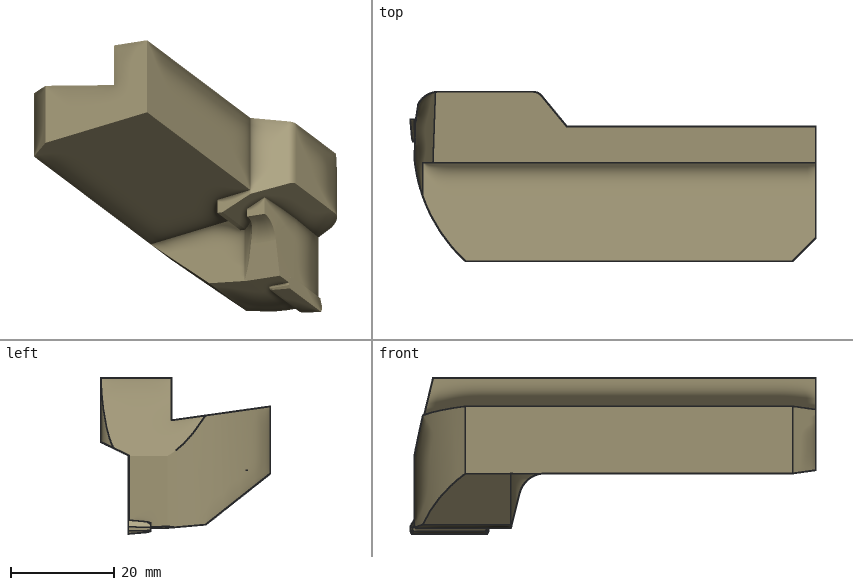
import cadquery as cq
import math


length = 78.48
depth = 32.8
height = 30.2

shank_back_y = 26.1
rib_front_y = 19.1
ledge_front_z = -5.49
shank_bottom_z = -18.5
clamp_angle = 8.0
end_chamfer = 4.5

nose_start_x = 10.7
nose_mid_x = 4.35
nose_mid_y = 8.2
nose_end_x = 0.8
nose_end_y = 19.9
end_yaw = 2.0
slant_bottom_z = -15.1
slant_angle = 13.6

head_corner_x = 24.8
head_end_x = 30.3
head_left_radius = 4.4
head_right_radius = 2.2
head_back_bottom_z = -12.4
head_under_angle = 25.8

leg_bottom_z = -29.1
leg_right_x = 19.5
leg_back_y = 27.2
leg_bulge = 0.3
leg_slope_y = 12.5
leg_slope_z = -28.4
leg_slope_end_y = 20.5
leg_edge_chamfer = 0.4
leg_right_lean = 14.0
leg_root_radius = 5.0
web_front_y = 23.5
web_mid_x = 21.8
web_mid_y = 22.5
leg_top_z = -12.0

insert_length = 15.24
insert_back_y = 27.5
insert_tip_depth = 3.7
insert_tip_relief = 5.0
insert_front_depth = 0.7
insert_front_relief = 18.0
insert_top_z = -27.5
insert_shoulder_z = -28.8
insert_shoulder_x = 0.75
insert_edge_z = -29.6
insert_edge_x = 0.35


def tan(degrees):
    return math.tan(math.radians(degrees))


def section_yz(points, x_end):
    """Prism with the given Y-Z section from X = 0 to x_end."""
    return cq.Workplane("YZ").polyline(points).close().extrude(x_end)


def plan_prism():
    """Plan outline of the whole holder, full height."""
    back_left_x = nose_end_x + (depth - nose_end_y) * tan(end_yaw)
    prism = (
        cq.Workplane("XY")
        .workplane(offset=leg_bottom_z)
        .moveTo(nose_start_x, 0)
        .lineTo(length - end_chamfer, 0)
        .lineTo(length, end_chamfer)
        .lineTo(length, shank_back_y)
        .lineTo(head_end_x, shank_back_y)
        .lineTo(head_corner_x, depth)
        .lineTo(back_left_x, depth)
        .lineTo(nose_end_x, nose_end_y)
        .threePointArc((nose_mid_x, nose_mid_y), (nose_start_x, 0))
        .close()
        .extrude(-leg_bottom_z)
    )
    back_edges = prism.faces(">Y").edges("|Z")
    prism = prism.newObject([back_edges.edges("<X").val()]).fillet(head_left_radius)
    return prism.faces(">Y").edges("|Z").edges(">X").fillet(head_right_radius)


def shank_prism():
    ledge_back_z = ledge_front_z - rib_front_y * tan(clamp_angle)
    under_back_z = shank_bottom_z + shank_back_y * tan(clamp_angle)
    points = [
        (0, ledge_front_z),
        (0, shank_bottom_z),
        (shank_back_y, under_back_z),
        (shank_back_y, 0),
        (rib_front_y, 0),
        (rib_front_y, ledge_back_z),
    ]
    return section_yz(points, length)


def head_prism():
    under_run = (head_back_bottom_z - shank_bottom_z) / tan(head_under_angle)
    points = [
        (rib_front_y, 0),
        (depth, 0),
        (depth, head_back_bottom_z),
        (depth - under_run, shank_bottom_z),
        (rib_front_y, shank_bottom_z),
    ]
    return section_yz(points, head_end_x)


def leg_prism():
    """Leg below the head: common part of its section, its plan and its side profile."""
    turn = math.radians(90 - leg_right_lean)
    tangent = leg_root_radius * math.tan(turn / 2)
    lean = math.radians(leg_right_lean)
    corner_x = leg_right_x + (shank_bottom_z - leg_bottom_z) * math.tan(lean)
    root_end_x = corner_x + tangent
    root_start = (corner_x - tangent * math.sin(lean), shank_bottom_z - tangent * math.cos(lean))
    root_mid = (
        root_end_x - leg_root_radius * math.sin(turn / 2),
        shank_bottom_z - leg_root_radius * (1 - math.cos(turn / 2)),
    )

    section = section_yz(
        [
            (0, leg_top_z),
            (0, shank_bottom_z),
            (leg_slope_y, leg_slope_z),
            (leg_slope_end_y, leg_bottom_z),
            (depth, leg_bottom_z),
            (depth, leg_top_z),
        ],
        root_end_x,
    )
    plan = (
        cq.Workplane("XY")
        .workplane(offset=leg_bottom_z)
        .moveTo(0, 0)
        .lineTo(leg_right_x, 0)
        .lineTo(leg_right_x, nose_end_y)
        .threePointArc((web_mid_x, web_mid_y), (root_end_x, web_front_y))
        .lineTo(root_end_x, leg_back_y)
        .threePointArc((root_end_x / 2, leg_back_y + leg_bulge), (0, leg_back_y))
        .close()
        .extrude(leg_top_z - leg_bottom_z)
    )
    profile = (
        cq.Workplane("XZ")
        .moveTo(nose_end_x, leg_bottom_z + leg_edge_chamfer)
        .lineTo(nose_end_x + leg_edge_chamfer, leg_bottom_z)
        .lineTo(leg_right_x, leg_bottom_z)
        .lineTo(*root_start)
        .threePointArc(root_mid, (root_end_x, shank_bottom_z))
        .lineTo(root_end_x, leg_top_z)
        .lineTo(nose_end_x, leg_top_z)
        .close()
        .extrude(-depth)
    )
    return section.intersect(plan).intersect(profile)


def slant_cutter():
    """Wedge that leans the upper end face back, turned by the yaw of the end face."""
    top_x = nose_end_x - slant_bottom_z * tan(slant_angle)
    wedge = (
        cq.Workplane("XZ")
        .workplane(offset=depth)
        .polyline([(nose_end_x, slant_bottom_z), (top_x, 0), (nose_end_x, 0)])
        .close()
        .extrude(-3 * depth)
    )
    axis_start = (nose_end_x, nose_end_y, 0)
    axis_end = (nose_end_x, nose_end_y, 1)
    return wedge.rotate(axis_start, axis_end, -end_yaw)


def make_insert():
    """Cutting insert: a relieved tip with a narrowed front."""
    right = insert_length
    outline = [
        (insert_shoulder_x, insert_top_z),
        (0, insert_shoulder_z),
        (0, insert_edge_z),
        (insert_edge_x, -height),
        (right - insert_edge_x, -height),
        (right, insert_edge_z),
        (right, insert_shoulder_z),
        (right - insert_shoulder_x, insert_top_z),
    ]
    tip = (
        cq.Workplane("XZ", origin=(0, insert_back_y, 0))
        .polyline(outline)
        .close()
        .extrude(insert_tip_depth, taper=insert_tip_relief)
    )
    front_wire = tip.faces("<Y").wires().toPending()
    return front_wire.workplane().extrude(insert_front_depth, taper=insert_front_relief)


def make_holder(insert):
    body = shank_prism().union(head_prism()).union(leg_prism())
    return body.intersect(plan_prism()).cut(slant_cutter()).cut(insert)


insert = make_insert()
holder = make_holder(insert)

result = cq.Compound.makeCompound([holder.val(), insert.val()])